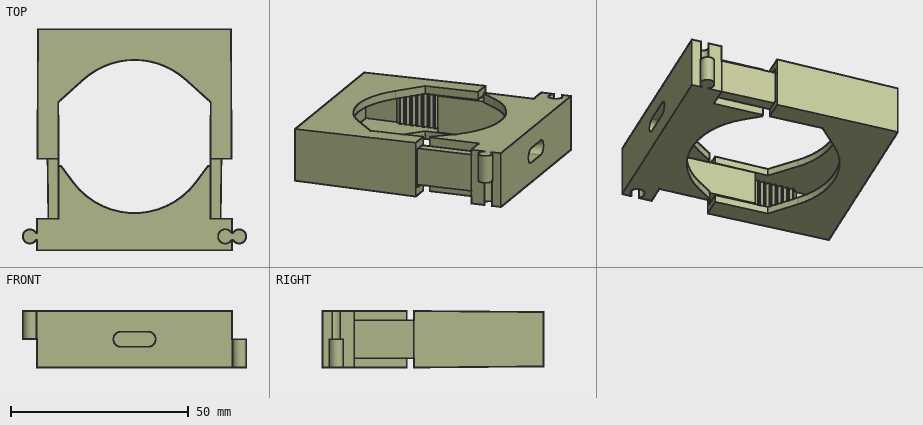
import cadquery as cq
import math

WIDTH_OVER_PINS = 62.9
HEIGHT = 16.0
LENGTH = 62.2
HALF_WIDTH = 27.5
MID_Z = HEIGHT / 2
OVERCUT = 0.6

BORE_RADIUS = 21.5
BORE_Y = 32.0
BORE_HALF_WIDTH = 21.45

BAR_DEPTH = 8.9
ARM_END_Y = 23.8
ARM_TIP_HALF_GAP = 20.7
TONGUE_HEIGHT = 10.75
TONGUE_OVERLAP = 0.1
TONGUE_INNER_X = BORE_HALF_WIDTH - TONGUE_OVERLAP
TONGUE_ROOT_HALF_WIDTH = 24.3
TONGUE_END_HALF_WIDTH = 24.65
TONGUE_END_Y = 37.8

SLOT_LENGTH = 11.9
SLOT_HEIGHT = 4.3
HINGE_RADIUS = 2.0
HINGE_Y = 3.9
HINGE_HEIGHT = HEIGHT / 2
PIN_X = WIDTH_OVER_PINS / 2 - HINGE_RADIUS
SOCKET_X = 2 * HALF_WIDTH - PIN_X
PIN_NECK_WIDTH = 1.95
SOCKET_NECK_WIDTH = 2.25

SLEEVE_FRONT_Y = 25.7
SLEEVE_HALF_WIDTH = 27.35
SLEEVE_SIDE_TAPER = 0.2
SLEEVE_FACE_TAPER = 0.3
SIDE_WALL = 1.4
BACK_WALL = 1.0
FACE_WALL = 2.3
OPENING_CORNER_Y = 41.6

TOOTH_COUNT = 7
TOOTH_PITCH = 1.75
TOOTH_TIP_WIDTH = 0.25
TOOTH_DEPTH = (TOOTH_PITCH - TOOTH_TIP_WIDTH) / 2
TOOTH_TIP_X = 24.5
FIRST_TOOTH_Y = 50.55


def box(x_min, x_max, y_min, y_max, z_min, z_max):
    """Axis-aligned block between the given limits."""
    size = (x_max - x_min, y_max - y_min, z_max - z_min)
    return cq.Workplane("XY").box(*size, centered=False).translate((x_min, y_min, z_min))


def on_circle(angle):
    """Point of the bore circle at the given angle from +X."""
    return (BORE_RADIUS * math.cos(angle), BORE_Y + BORE_RADIUS * math.sin(angle))


def tangent_angle(x, y):
    """Angle of the bore point whose tangent passes through (x, y), on the side away from the X axis."""
    rise = y - BORE_Y
    swing = math.acos(BORE_RADIUS / math.hypot(x, rise))
    return math.atan2(rise, x) + math.copysign(swing, rise)


def rounded_opening(corner_x, corner_y, open_y):
    """Cutter: a bore arc joined by tangent lines to two corners, then straight out to open_y."""
    angle = tangent_angle(corner_x, corner_y)
    tangent_x, tangent_y = on_circle(angle)
    crown = on_circle(math.copysign(math.pi / 2, angle))
    return (
        cq.Workplane("XY")
        .moveTo(corner_x, open_y)
        .lineTo(corner_x, corner_y)
        .lineTo(tangent_x, tangent_y)
        .threePointArc(crown, (-tangent_x, tangent_y))
        .lineTo(-corner_x, corner_y)
        .lineTo(-corner_x, open_y)
        .close()
        .extrude(HEIGHT + 2 * OVERCUT)
        .translate((0, 0, -OVERCUT))
    )


def tapered_block(front_y, back_y, front_size, back_size):
    """Block centred on X = 0 and mid height, lofted between two (width, height) sections."""
    return (
        cq.Workplane("XZ", origin=(0, front_y, MID_Z))
        .rect(*front_size)
        .workplane(offset=front_y - back_y)
        .rect(*back_size)
        .loft(ruled=True)
    )



def make_tongue():
    """Right-hand tongue; its outer face leans outward toward the free end."""
    return (
        cq.Workplane("XY", origin=(0, 0, MID_Z - TONGUE_HEIGHT / 2))
        .polyline([
            (TONGUE_INNER_X, BAR_DEPTH),
            (TONGUE_ROOT_HALF_WIDTH, BAR_DEPTH),
            (TONGUE_END_HALF_WIDTH, TONGUE_END_Y),
            (TONGUE_INNER_X, TONGUE_END_Y),
        ])
        .close()
        .extrude(TONGUE_HEIGHT)
    )


def make_hinge_profile(center_x, neck_width, base_z):
    """Half-height cylinder with a neck to the side face of the bar, on the +X side."""
    cylinder = (
        cq.Workplane("XY", origin=(center_x, HINGE_Y, base_z))
        .circle(HINGE_RADIUS)
        .extrude(HINGE_HEIGHT)
    )
    neck = box(
        min(center_x, HALF_WIDTH), max(center_x, HALF_WIDTH),
        HINGE_Y - neck_width / 2, HINGE_Y + neck_width / 2,
        base_z, base_z + HINGE_HEIGHT,
    )
    return cylinder.union(neck)


def make_base():
    bar = box(-HALF_WIDTH, HALF_WIDTH, 0, BAR_DEPTH, 0, HEIGHT)
    arms = box(-BORE_HALF_WIDTH, BORE_HALF_WIDTH, 0, ARM_END_Y, 0, HEIGHT)
    base = bar.union(arms).cut(rounded_opening(ARM_TIP_HALF_GAP, ARM_END_Y, ARM_END_Y + OVERCUT))

    arm_gap = box(
        -BORE_HALF_WIDTH, BORE_HALF_WIDTH, BAR_DEPTH, ARM_END_Y,
        MID_Z - TONGUE_HEIGHT / 2, MID_Z + TONGUE_HEIGHT / 2,
    )
    base = base.cut(arm_gap)

    tongue = make_tongue()
    base = base.union(tongue).union(tongue.mirror("YZ"))

    slot = (
        cq.Workplane("XZ", origin=(0, 0, MID_Z))
        .slot2D(SLOT_LENGTH, SLOT_HEIGHT)
        .extrude(-BAR_DEPTH)
    )
    base = base.cut(slot)

    right_pin = make_hinge_profile(PIN_X, PIN_NECK_WIDTH, 0)
    right_socket = make_hinge_profile(SOCKET_X, SOCKET_NECK_WIDTH, MID_Z)
    left_pin = make_hinge_profile(PIN_X, PIN_NECK_WIDTH, MID_Z).mirror("YZ")
    left_socket = make_hinge_profile(SOCKET_X, SOCKET_NECK_WIDTH, 0).mirror("YZ")
    return base.cut(right_socket).cut(left_socket).union(right_pin).union(left_pin)



def make_tooth_rack():
    """Right-hand row of ratchet teeth, rooted in the sleeve wall, with flat tips and 45 degree flanks."""
    root_x = SLEEVE_HALF_WIDTH - SIDE_WALL / 2
    root_rise = root_x - TOOTH_TIP_X
    height = HEIGHT - 2 * FACE_WALL
    points = [(root_x, FIRST_TOOTH_Y + root_rise)]
    for index in range(TOOTH_COUNT):
        tip_back_y = FIRST_TOOTH_Y - index * TOOTH_PITCH
        tip_front_y = tip_back_y - TOOTH_TIP_WIDTH
        points.append((TOOTH_TIP_X, tip_back_y))
        points.append((TOOTH_TIP_X, tip_front_y))
        points.append((TOOTH_TIP_X + TOOTH_DEPTH, tip_front_y - TOOTH_DEPTH))
    last_valley_y = points[-1][1]
    points.append((root_x, last_valley_y))
    return (
        cq.Workplane("XY", origin=(0, 0, MID_Z - height / 2))
        .polyline(points)
        .close()
        .extrude(height)
    )


def make_sleeve():
    front_width = 2 * SLEEVE_HALF_WIDTH
    back_width = front_width - 2 * SLEEVE_SIDE_TAPER
    back_height = HEIGHT - 2 * SLEEVE_FACE_TAPER
    shell = tapered_block(SLEEVE_FRONT_Y, LENGTH, (front_width, HEIGHT), (back_width, back_height))
    cavity = tapered_block(
        SLEEVE_FRONT_Y, LENGTH - BACK_WALL,
        (front_width - 2 * SIDE_WALL, HEIGHT - 2 * FACE_WALL),
        (back_width - 2 * SIDE_WALL, back_height - 2 * FACE_WALL),
    )
    opening = rounded_opening(BORE_HALF_WIDTH, OPENING_CORNER_Y, SLEEVE_FRONT_Y - OVERCUT)
    rack = make_tooth_rack()
    return shell.cut(cavity).cut(opening).union(rack).union(rack.mirror("YZ"))


base = make_base()
sleeve = make_sleeve()

result = cq.Compound.makeCompound([base.val(), sleeve.val()])